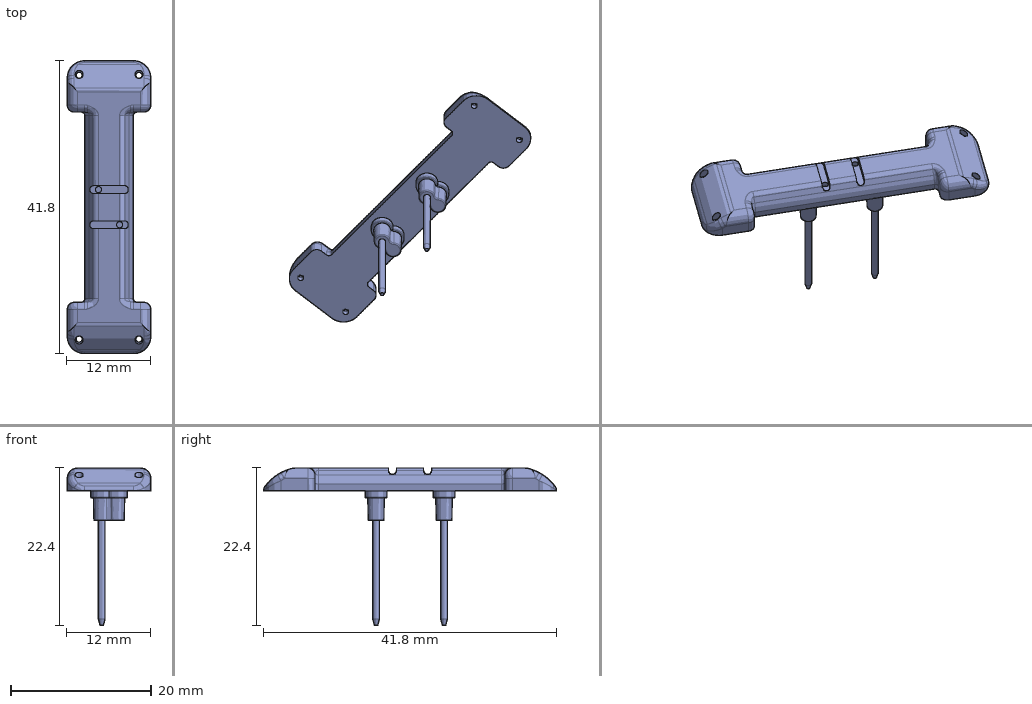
import cadquery as cq
LENGTH = 41.75
WIDTH = 11.95
HEIGHT = 3.25

CAP_LENGTH = 7.35
CAP_PLAN_RADIUS = 2.5
CAP_SIDE_FILLET = 1.5
CAP_END_FILLET = 1.0
TIP_HEIGHT = 0.4
SLOPE_START_INSET = 0.6
SLOPE_START_HEIGHT = 1.1
SLOPE_LENGTH = 4.2
SLOPE_BLEND = 2.1

BAR_HALF_WIDTH = 3.45
BAR_WALL_HEIGHT = 1.0
FLANK_FOOT_HALF_WIDTH = 2.85
FLANK_FOOT_HEIGHT = 2.25
BAR_TOP_HALF_WIDTH = 1.95
JUNCTION_FILLET = 0.5
NOTCH_FILLET = 1.05

HOLE_X = 4.25
HOLE_FROM_TIP = 1.95
HOLE_DIAMETER = 1.13
HOLE_FLOOR = 1.0
PILOT_DIAMETER = 0.85
PILOT_SHIFT = 0.13

SLOT_Y = 2.5
SLOT_LENGTH = 5.5
SLOT_WIDTH = 1.13
SLOT_DEPTH = 0.88
PIT_X = 1.5
PIT_DIAMETER = 0.88
PIT_DEPTH = 0.85

SOCKET_Y = 4.85
SOCKET_X = 1.05
COLLAR_RADIUS = 1.565
COLLAR_DEPTH = 1.0
COLLAR_ROUNDING = 0.13
SLEEVE_TOP_RADIUS = 1.2
SLEEVE_END_RADIUS = 1.13
SLEEVE_DEPTH = 4.25
SLEEVE_CREASE_FILLET = 0.63
SLEEVE_ROUNDING = 0.15
PIN_RADIUS = 0.5
PIN_TIP_RADIUS = 0.25
PIN_SHOULDER_DEPTH = 18.25
PIN_DEPTH = 19.15

TANGENCY_TOLERANCE = 0.001
MATCH = 0.005

HALF_LENGTH = LENGTH / 2
HALF_WIDTH = WIDTH / 2
CAP_INNER_Y = HALF_LENGTH - CAP_LENGTH


def nearest_to(x, y, z):
    return cq.selectors.NearestToPointSelector((x, y, z))


def make_cap():
    """The end cap on the +Y side, with its inner face still sharp."""
    slope_end_y = HALF_LENGTH - SLOPE_LENGTH
    sloped = (
        cq.Workplane("YZ")
        .moveTo(CAP_INNER_Y, 0)
        .lineTo(HALF_LENGTH, 0)
        .lineTo(HALF_LENGTH, TIP_HEIGHT)
        .lineTo(HALF_LENGTH - SLOPE_START_INSET, SLOPE_START_HEIGHT)
        .tangentArcPoint((slope_end_y, HEIGHT), relative=False)
        .lineTo(CAP_INNER_Y, HEIGHT)
        .close()
        .extrude(HALF_WIDTH, both=True)
    )
    sloped = sloped.edges(nearest_to(0, slope_end_y, HEIGHT)).fillet(SLOPE_BLEND)
    sloped = sloped.faces(">Y").edges("|Z").fillet(CAP_PLAN_RADIUS)
    sloped = sloped.edges(nearest_to(0, HALF_LENGTH, TIP_HEIGHT)).fillet(CAP_END_FILLET)

    side_rounded = (
        cq.Workplane("XY")
        .box(WIDTH, 2 * LENGTH, HEIGHT, centered=(True, True, False))
        .edges("|Y and >Z")
        .fillet(CAP_SIDE_FILLET)
    )
    return sloped.intersect(side_rounded, tol=TANGENCY_TOLERANCE)


def make_bar():
    """The bar with sharp upper edges, ending inside the caps."""
    half = (
        cq.Workplane("XZ")
        .moveTo(0, 0)
        .lineTo(0, HEIGHT)
        .lineTo(BAR_TOP_HALF_WIDTH, HEIGHT)
        .lineTo(FLANK_FOOT_HALF_WIDTH, FLANK_FOOT_HEIGHT)
        .tangentArcPoint((BAR_HALF_WIDTH, BAR_WALL_HEIGHT), relative=False)
        .lineTo(BAR_HALF_WIDTH, 0)
        .close()
        .extrude(CAP_INNER_Y + NOTCH_FILLET, both=True)
    )
    return half.union(half.mirror("YZ"))


def make_plate():
    cap = make_cap()
    plate = make_bar()
    for end in (cap, cap.mirror("XZ")):
        plate = plate.union(end, tol=TANGENCY_TOLERANCE)

    def lies_in_junction(edge):
        """True for edges where the wall, shoulder or flank of the bar meets a cap."""
        box = edge.BoundingBox()
        in_inner_face = box.ylen < MATCH and abs(abs(box.center.y) - CAP_INNER_Y) < MATCH
        rises = box.zlen > MATCH
        return in_inner_face and rises and abs(box.center.x) < BAR_HALF_WIDTH + MATCH

    junctions = [edge for edge in plate.edges().vals() if lies_in_junction(edge)]
    plate = plate.newObject(junctions).fillet(JUNCTION_FILLET)

    for side in (-1, 1):
        top_edge = nearest_to(side * BAR_TOP_HALF_WIDTH, 0, HEIGHT)
        plate = plate.edges(top_edge).fillet(NOTCH_FILLET)
    return plate


def make_cap_holes():
    """Cutters for the four stepped holes."""
    hole_y = HALF_LENGTH - HOLE_FROM_TIP
    pilot_y = hole_y - PILOT_SHIFT
    holes = (
        cq.Workplane("XY", origin=(0, 0, HOLE_FLOOR))
        .rarray(2 * HOLE_X, 2 * hole_y, 2, 2)
        .circle(HOLE_DIAMETER / 2)
        .extrude(HEIGHT)
    )
    pilots = (
        cq.Workplane("XY")
        .rarray(2 * HOLE_X, 2 * pilot_y, 2, 2)
        .circle(PILOT_DIAMETER / 2)
        .extrude(HEIGHT)
    )
    return holes.union(pilots)


def make_slot(y, pit_x):
    """Cutter for one flat-floored slot and its blind hole."""
    floor = HEIGHT - SLOT_DEPTH
    slot = (
        cq.Workplane("XY", origin=(0, y, floor))
        .slot2D(SLOT_LENGTH, SLOT_WIDTH)
        .extrude(HEIGHT)
    )
    pit = (
        cq.Workplane("XY", origin=(pit_x, y, floor - PIT_DEPTH))
        .circle(PIT_DIAMETER / 2)
        .extrude(HEIGHT)
    )
    return slot.union(pit)


def make_socket(y):
    """Twin collar and sleeve below the plate, with a pin on the -X side."""
    def turned(x, profile):
        outline = cq.Workplane("XZ", origin=(x, y, 0)).polyline(profile).close()
        return outline.revolve(360, (0, 0, 0), (0, 1, 0))

    collar_profile = [(0, 0), (COLLAR_RADIUS, 0), (COLLAR_RADIUS, -COLLAR_DEPTH), (0, -COLLAR_DEPTH)]
    sleeve_profile = [
        (0, -COLLAR_DEPTH),
        (SLEEVE_TOP_RADIUS, -COLLAR_DEPTH),
        (SLEEVE_END_RADIUS, -SLEEVE_DEPTH),
        (0, -SLEEVE_DEPTH),
    ]
    pin_profile = [
        (0, -SLEEVE_DEPTH),
        (PIN_RADIUS, -SLEEVE_DEPTH),
        (PIN_RADIUS, -PIN_SHOULDER_DEPTH),
        (PIN_TIP_RADIUS, -PIN_DEPTH),
        (0, -PIN_DEPTH),
    ]
    collar = turned(-SOCKET_X, collar_profile).union(turned(SOCKET_X, collar_profile))
    collar = collar.faces("<Z").edges().fillet(COLLAR_ROUNDING)
    sleeve = turned(-SOCKET_X, sleeve_profile).union(turned(SOCKET_X, sleeve_profile))
    sleeve_middle = -(COLLAR_DEPTH + SLEEVE_DEPTH) / 2
    for side in (-1, 1):
        crease = nearest_to(0, y + side * SLEEVE_END_RADIUS / 2, sleeve_middle)
        sleeve = sleeve.edges(crease).fillet(SLEEVE_CREASE_FILLET)
    sleeve = sleeve.faces("<Z").edges().fillet(SLEEVE_ROUNDING)
    return collar.union(sleeve).union(turned(-SOCKET_X, pin_profile))


result = make_plate().cut(make_cap_holes())
for sign in (-1, 1):
    result = result.cut(make_slot(sign * SLOT_Y, -sign * PIT_X))
    result = result.union(make_socket(sign * SOCKET_Y))